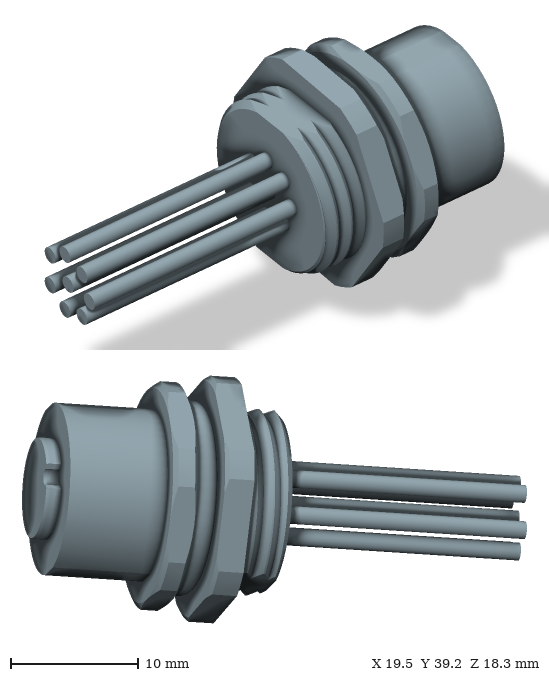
import cadquery as cq
import math


FLANGE_LENGTH = 2.3
SEAL_LENGTH = 2.0
NUT_LENGTH = 2.0
BARREL_LENGTH = 7.9
INSERT_LENGTH = 1.2
THREAD_LENGTH = 3.8
WIRE_LENGTH = 20.0

SEAL_START = FLANGE_LENGTH
NUT_START = SEAL_START + SEAL_LENGTH
BARREL_START = NUT_START + NUT_LENGTH
INSERT_START = BARREL_START + BARREL_LENGTH
THREAD_END = -THREAD_LENGTH

BARREL_RADIUS = 6.8
FLAT_HALF_WIDTH = 6.7

FLANGE_WIDTH = 18.0
FLANGE_CORNER_RADIUS = 9.75
FLANGE_TILT = 2.15
FLANGE_BEVEL_RADIAL = 0.4
FLANGE_BEVEL_AXIAL = 0.28
NUT_WIDTH = 17.0
NUT_CORNER_RADIUS = 9.05
NUT_BEVEL_RADIAL = 0.55
NUT_BEVEL_AXIAL = 0.32

SEAL_OUTER_RADIUS = 7.75
SEAL_CORD_RADIUS = SEAL_LENGTH / 2

THREAD_CREST_RADIUS = 7.5
THREAD_ROOT_RADIUS = 6.9
THREAD_PITCH = 1.4
THREAD_CREST_WIDTH = 0.15
GROOVE_TURNS = 6
TURNS_BEFORE_ROOT = 2
CUTTER_EXCESS = 0.04
ROOT_AT_MINUS_X = -2.85

INSERT_RADIUS = 4.0
INSERT_BEVEL_RADIAL = 0.05
INSERT_BEVEL_AXIAL = 0.25
KEY_MOUTH_HALF_WIDTH = 1.0
KEY_FLOOR_RADIUS = 0.65

WIRE_RADIUS = 0.7
WIRE_CIRCLE_RADIUS = 2.75
WIRE_STEP_ANGLE = 49.2
WIRES_PER_SIDE = 3


def cylinder(radius, start, length, x=0.0, z=0.0):
    """Cylinder along +Y from the given start station."""
    return cq.Workplane("XZ", origin=(x, start, z)).circle(radius).extrude(-length)


def revolved(profile):
    """Solid of revolution about Y from (radius, Y) points."""
    return cq.Workplane("XY").polyline(profile).close().revolve(360, (0, 0), (0, 1))


def with_flats(body, start, length):
    """Trim a round body to the two flats facing +Z and -Z."""
    reach = 2 * FLANGE_CORNER_RADIUS
    slab = cq.Workplane("XY").box(reach, length, 2 * FLAT_HALF_WIDTH)
    return body.intersect(slab.translate((0, start + length / 2, 0)))


def hexagon(width, corner_radius, start, length, bevel_radial, rear_axial, front_axial, tilt=0.0):
    """Hexagon with flats on +Z and -Z, rounded corners and conical bevels."""
    hex_diameter = width / math.cos(math.radians(30))
    prism = cq.Workplane("XZ", origin=(0, start, 0)).polygon(6, hex_diameter).extrude(-length)
    prism = prism.rotate((0, 0, 0), (0, 1, 0), tilt)
    end = start + length
    face_radius = corner_radius - bevel_radial
    profile = [(0, start)]
    if rear_axial:
        profile.append((face_radius, start))
    profile.append((corner_radius, start + rear_axial))
    profile.append((corner_radius, end - front_axial))
    profile.append((face_radius, end))
    profile.append((0, end))
    return prism.intersect(revolved(profile))


def make_flange():
    return hexagon(
        FLANGE_WIDTH, FLANGE_CORNER_RADIUS, 0, FLANGE_LENGTH,
        FLANGE_BEVEL_RADIAL, 0, FLANGE_BEVEL_AXIAL, FLANGE_TILT,
    )


def make_nut():
    return hexagon(
        NUT_WIDTH, NUT_CORNER_RADIUS, NUT_START, NUT_LENGTH,
        NUT_BEVEL_RADIAL, NUT_BEVEL_AXIAL, NUT_BEVEL_AXIAL,
    )


def make_seal():
    """O-ring on a plain neck between flange and nut."""
    neck = cylinder(BARREL_RADIUS, SEAL_START, SEAL_LENGTH)
    ring_radius = SEAL_OUTER_RADIUS - SEAL_CORD_RADIUS
    section = cq.Workplane("XY", origin=(-ring_radius, SEAL_START + SEAL_LENGTH / 2, 0))
    ring = section.circle(SEAL_CORD_RADIUS).revolve(360, (ring_radius, 0), (ring_radius, 1))
    return neck.union(ring)


def make_barrel():
    return with_flats(cylinder(BARREL_RADIUS, BARREL_START, BARREL_LENGTH), BARREL_START, BARREL_LENGTH)


def make_threaded_rod():
    """Round rod along Y, longer than needed at both ends, with a helical V groove."""
    depth = THREAD_CREST_RADIUS - THREAD_ROOT_RADIUS
    crest_half_gap = (THREAD_PITCH - THREAD_CREST_WIDTH) / 2
    outer_half_gap = crest_half_gap * (depth + CUTTER_EXCESS) / depth
    outer_radius = THREAD_CREST_RADIUS + CUTTER_EXCESS
    groove_length = GROOVE_TURNS * THREAD_PITCH
    helix = cq.Wire.makeHelix(THREAD_PITCH, groove_length, THREAD_ROOT_RADIUS)
    section = cq.Workplane("XZ").polyline([
        (THREAD_ROOT_RADIUS, 0),
        (outer_radius, -outer_half_gap),
        (outer_radius, outer_half_gap),
    ])
    cutter = section.close().sweep(cq.Workplane(helix), isFrenet=True)
    rod = cq.Workplane("XY", origin=(0, 0, -THREAD_PITCH)).circle(THREAD_CREST_RADIUS)
    rod = rod.extrude(groove_length + 2 * THREAD_PITCH).cut(cutter)

    rod = rod.rotate((0, 0, 0), (1, 0, 0), -90).rotate((0, 0, 0), (0, 1, 0), 180)
    return rod.translate((0, ROOT_AT_MINUS_X - TURNS_BEFORE_ROOT * THREAD_PITCH, 0))


def make_thread():
    """Threaded stub: the rod trimmed to length with a 45 degree lead-in and flats."""
    lead_in = THREAD_CREST_RADIUS - THREAD_ROOT_RADIUS
    clear_radius = THREAD_CREST_RADIUS + CUTTER_EXCESS
    envelope = revolved([
        (0, THREAD_END),
        (THREAD_ROOT_RADIUS, THREAD_END),
        (clear_radius, THREAD_END + lead_in + CUTTER_EXCESS),
        (clear_radius, 0),
        (0, 0),
    ])
    return with_flats(make_threaded_rod().intersect(envelope), THREAD_END, THREAD_LENGTH)


def make_insert():
    """Contact insert at the front end, with a coding groove: 45 degree lips and a round floor."""
    tip = INSERT_START + INSERT_LENGTH
    body = revolved([
        (0, INSERT_START),
        (INSERT_RADIUS, INSERT_START),
        (INSERT_RADIUS, tip - INSERT_BEVEL_AXIAL),
        (INSERT_RADIUS - INSERT_BEVEL_RADIAL, tip),
        (0, tip),
    ])
    mouth_x = -math.sqrt(INSERT_RADIUS**2 - KEY_MOUTH_HALF_WIDTH**2)
    neck_x = mouth_x + KEY_MOUTH_HALF_WIDTH - KEY_FLOOR_RADIUS
    groove = (
        cq.Workplane("XZ", origin=(0, INSERT_START, 0))
        .moveTo(-INSERT_RADIUS, KEY_MOUTH_HALF_WIDTH)
        .lineTo(mouth_x, KEY_MOUTH_HALF_WIDTH)
        .lineTo(neck_x, KEY_FLOOR_RADIUS)
        .threePointArc((neck_x + KEY_FLOOR_RADIUS, 0), (neck_x, -KEY_FLOOR_RADIUS))
        .lineTo(mouth_x, -KEY_MOUTH_HALF_WIDTH)
        .lineTo(-INSERT_RADIUS, -KEY_MOUTH_HALF_WIDTH)
        .close()
        .extrude(-INSERT_LENGTH)
    )
    return body.cut(groove)


def make_wires():
    start = THREAD_END - WIRE_LENGTH
    wires = cylinder(WIRE_RADIUS, start, WIRE_LENGTH)
    for step in range(-WIRES_PER_SIDE, WIRES_PER_SIDE + 1):
        angle = math.radians(step * WIRE_STEP_ANGLE)
        x = WIRE_CIRCLE_RADIUS * math.cos(angle)
        z = WIRE_CIRCLE_RADIUS * math.sin(angle)
        wires = wires.add(cylinder(WIRE_RADIUS, start, WIRE_LENGTH, x, z))
    return wires.combine()


result = make_flange()
for piece in (make_thread(), make_seal(), make_nut(), make_barrel(), make_insert(), make_wires()):
    result = result.union(piece)